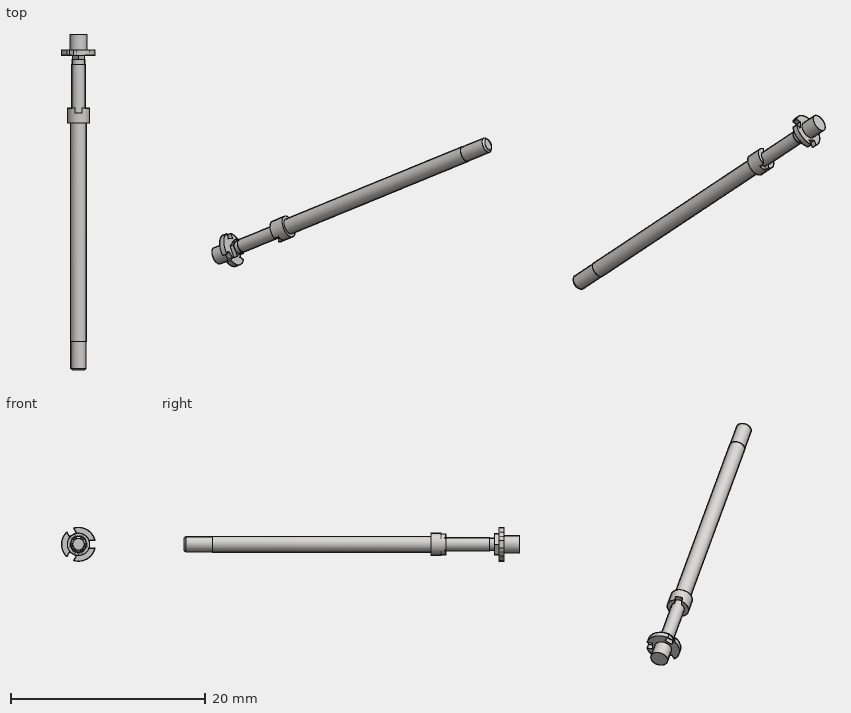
import cadquery as cq
import math

tip_cone_length = 0.2
tail_end = 2.95
collar_start = 25.45
collar_end = 27.0
stem_end = 31.5
neck_end = 32.0
wedge_end = 32.45
flange_end = 33.0
overall_length = 34.6

tip_flat_diameter = 1.2
tail_diameter = 1.6
barrel_diameter = 1.65
collar_diameter = 2.3
stem_diameter = 1.4
neck_diameter = 1.3
flange_diameter = 3.5
head_diameter = 1.8

wedge_height = 2.2
wedge_tip_angle = 60
wedge_width = wedge_height * math.tan(math.radians(wedge_tip_angle / 2))

flange_notch_count = 3
flange_notch_width = 0.8
flange_notch_floor = 1.15

collar_slot_width = 0.75
collar_slot_length = 0.5


def cylinder(diameter, y_start, y_end):
    """Round section along Y between two stations."""
    profile = cq.Workplane("XZ", origin=(0, y_start, 0)).circle(diameter / 2)
    return profile.extrude(-(y_end - y_start))


def barrel():
    """Coned tip, tail and long barrel, revolved about Y."""
    tail_radius = tail_diameter / 2
    barrel_radius = barrel_diameter / 2
    profile = (
        cq.Workplane("XY")
        .lineTo(tip_flat_diameter / 2, 0)
        .lineTo(tail_radius, tip_cone_length)
        .lineTo(tail_radius, tail_end)
        .lineTo(barrel_radius, tail_end)
        .lineTo(barrel_radius, collar_start)
        .lineTo(0, collar_start)
        .close()
    )
    return profile.revolve(360, (0, 0, 0), (0, 1, 0))


def collar():
    """Collar with two opposite slots."""
    slots = cq.Workplane("XY").box(collar_slot_width, collar_slot_length, collar_diameter)
    slots = slots.translate((0, collar_end - collar_slot_length / 2, 0))
    return cylinder(collar_diameter, collar_start, collar_end).cut(slots)


def wedge():
    """Diamond-shaped block between the neck and the flange."""
    outline = (
        cq.Workplane("XZ", origin=(0, neck_end, 0))
        .moveTo(wedge_width / 2, 0)
        .lineTo(0, wedge_height / 2)
        .lineTo(-wedge_width / 2, 0)
        .lineTo(0, -wedge_height / 2)
        .close()
    )
    return outline.extrude(-(wedge_end - neck_end))


def flange():
    """Thin disc with flat-floored notches evenly spaced around its rim."""
    disc = cylinder(flange_diameter, wedge_end, flange_end)
    thickness = flange_end - wedge_end
    notch = cq.Workplane("XY").box(
        flange_diameter, thickness, flange_notch_width, centered=(False, False, True)
    )
    notch = notch.translate((flange_notch_floor, wedge_end, 0))
    for index in range(flange_notch_count):
        angle = index * 360 / flange_notch_count
        disc = disc.cut(notch.rotate((0, 0, 0), (0, 1, 0), angle))
    return disc


stem = cylinder(stem_diameter, collar_start, stem_end)
neck = cylinder(neck_diameter, stem_end, neck_end)
head = cylinder(head_diameter, flange_end, overall_length)

result = barrel().union(collar()).union(stem).union(neck).union(wedge()).union(flange()).union(head)